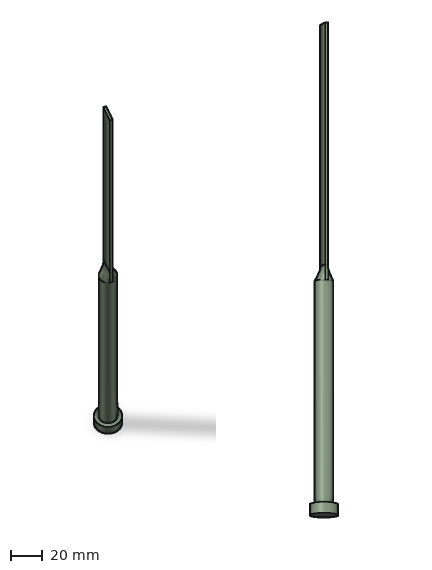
import cadquery as cq
import math

total_length = 315.0

head_diameter = 18.0
head_height = 7.0

shank_diameter = 12.0
shank_end = 150.0

blade_width = 11.5
blade_thickness = 2.0

transition_length = 10.0


def make_head():
    return cq.Workplane("XY").circle(head_diameter / 2).extrude(head_height)


def make_shank():
    return cq.Workplane("XY").circle(shank_diameter / 2).extrude(shank_end)


def make_transition():
    """Ruled loft from the shank circle, flattened on its two sides, to the blade rectangle.

    The flattened sides are as thick as the blade, so each side runs down as a straight strip.
    """
    radius = shank_diameter / 2
    half_thickness = blade_thickness / 2
    half_chord = math.sqrt(radius**2 - half_thickness**2)
    half_width = blade_width / 2
    return (
        cq.Workplane("XY", origin=(0, 0, shank_end))
        .moveTo(-half_chord, -half_thickness)
        .threePointArc((0, -radius), (half_chord, -half_thickness))
        .lineTo(half_chord, half_thickness)
        .threePointArc((0, radius), (-half_chord, half_thickness))
        .close()
        .workplane(offset=transition_length)
        .moveTo(-half_width, -half_thickness)
        .lineTo(half_width, -half_thickness)
        .lineTo(half_width, half_thickness)
        .lineTo(-half_width, half_thickness)
        .close()
        .loft(ruled=True)
    )


def make_blade():
    """Flat blade from the end of the transition to the tip."""
    blade_start = shank_end + transition_length
    return (
        cq.Workplane("XY", origin=(0, 0, blade_start))
        .rect(blade_width, blade_thickness)
        .extrude(total_length - blade_start)
    )


result = make_head().union(make_shank()).union(make_transition()).union(make_blade())